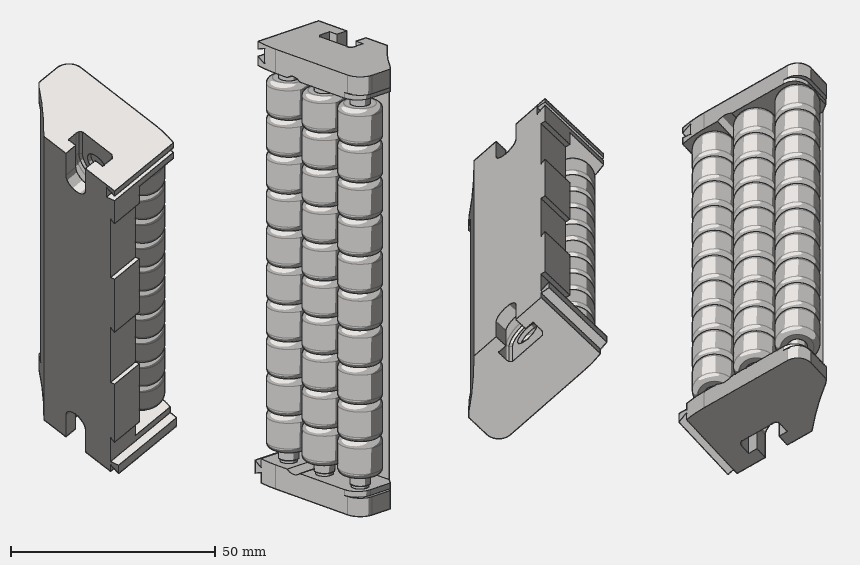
import cadquery as cq
import math


LENGTH = 115.0
HALF_LENGTH = LENGTH / 2
TOP_Y = 21.5
WALL = 8.7
PLATE = 6.3
LIP = 4.8
BODY_LEFT = -3.6
LIP_LEFT = -4.5
BEVEL_TOP_Y = 10.1
BEVEL_FOOT_X = 7.9
BEVEL_SAG = 0.3
BODY_CORNER_Y = 17.0
LIP_CORNER_Y = 17.2

ROLLER_COUNT = 3
ROLLER_PITCH = 12.5
ROLLER_RADIUS = 5.5
ROLLER_AXIS_Y = 17.0
DRUM_COUNT = 10
DRUM_PITCH = 9.7
DRUM_ROUNDING = 1.5
ROLLER_MIDDLE_Z = 58.2
NECK_RADIUS = 2.5
NECK_LENGTH = 2.8
JOURNAL_RADIUS = 2.2
JOURNAL_LENGTH = 3.7
DRUMS_HALF_LENGTH = DRUM_COUNT * DRUM_PITCH / 2
NECK_END = DRUMS_HALF_LENGTH + NECK_LENGTH
JOURNAL_END = NECK_END + JOURNAL_LENGTH
LAST_AXIS_X = (ROLLER_COUNT - 1) * ROLLER_PITCH

STEP = 1.4
BASE_X = 30.7
TOOTH_X = BASE_X + STEP
KEY_DEPTH = 2 * STEP
UNDERCUT = 0.6
TOOTH_TIPS_Z = (13.1, 36.7, 57.7, 79.2, 101.8)
KEY_Z = 3.3
KEY_HALF_ROOT = 0.7
KEY_HALF_TIP = 1.7
KEYWAY_Z = 112.0
KEYWAY_HALF_MOUTH = 0.9
KEYWAY_HALF_FLOOR = 2.0
RIGHT_X = BASE_X + KEY_DEPTH
RIGHT_ROUNDING = 32.2

SLOT_X = LAST_AXIS_X - ROLLER_PITCH / 2
SLOT_RUN = 8.9
STEM_RADIUS = 3.3
HEAD_RADIUS = 5.9
HEAD_BOTTOM_Y = 3.5
HEAD_TOP_Y = 7.6
HEAD_TAPER_WIDTH = 0.2
HEAD_TAPER_HEIGHT = 1.4
HEAD_CHAMFER = 0.6


def bevel_middle():
    """Middle of the hollow bevel, set off from its chord toward the inside."""
    run = BEVEL_FOOT_X - BODY_LEFT
    chord = math.hypot(run, BEVEL_TOP_Y)
    return (
        (BODY_LEFT + BEVEL_FOOT_X) / 2 + BEVEL_SAG * BEVEL_TOP_Y / chord,
        BEVEL_TOP_Y / 2 + BEVEL_SAG * run / chord,
    )


def corner_middle(left, start_y):
    """Middle of the quarter circle that joins the left side to the top."""
    radius = TOP_Y - start_y
    offset = radius * (1 - math.sqrt(0.5))
    return left + offset, TOP_Y - offset


def body_block():
    """Full cross-section, extruded over the whole length."""

    def right_arc(x):
        drop = RIGHT_ROUNDING - math.sqrt(RIGHT_ROUNDING**2 - (x - LAST_AXIS_X) ** 2)
        return x, TOP_Y - drop

    corner_radius = TOP_Y - BODY_CORNER_Y
    return (
        cq.Workplane("XY")
        .moveTo(RIGHT_X, 0)
        .lineTo(BEVEL_FOOT_X, 0)
        .threePointArc(bevel_middle(), (BODY_LEFT, BEVEL_TOP_Y))
        .lineTo(BODY_LEFT, BODY_CORNER_Y)
        .threePointArc(corner_middle(BODY_LEFT, BODY_CORNER_Y), (BODY_LEFT + corner_radius, TOP_Y))
        .lineTo(LAST_AXIS_X, TOP_Y)
        .threePointArc(right_arc((LAST_AXIS_X + RIGHT_X) / 2), right_arc(RIGHT_X))
        .close()
        .extrude(LENGTH)
    )


def lip(start_z):
    """Outer layer of an end plate, with its left side further out."""
    corner_radius = TOP_Y - LIP_CORNER_Y
    inside_x = BODY_LEFT + TOP_Y - BODY_CORNER_Y
    chamfer = BODY_LEFT - LIP_LEFT
    return (
        cq.Workplane("XY", origin=(0, 0, start_z))
        .moveTo(inside_x, BEVEL_TOP_Y)
        .lineTo(BODY_LEFT, BEVEL_TOP_Y)
        .lineTo(LIP_LEFT, BEVEL_TOP_Y + chamfer)
        .lineTo(LIP_LEFT, LIP_CORNER_Y)
        .threePointArc(corner_middle(LIP_LEFT, LIP_CORNER_Y), (LIP_LEFT + corner_radius, TOP_Y))
        .lineTo(inside_x, TOP_Y)
        .close()
        .extrude(LIP)
    )


def roller_bay():
    """Space between the end plates, open on every side but the back."""
    width = RIGHT_X - LIP_LEFT
    depth = TOP_Y - WALL
    return (
        cq.Workplane("XY")
        .box(width, depth, LENGTH - 2 * PLATE, centered=(False, False, False))
        .translate((LIP_LEFT, WALL, PLATE))
    )


def joint_outline():
    """Everything to the left of the interlocking right side, as a prism along Y."""
    points = [
        (LIP_LEFT, 0),
        (BASE_X, 0),
        (BASE_X, KEY_Z - KEY_HALF_ROOT),
        (RIGHT_X, KEY_Z - KEY_HALF_TIP),
        (RIGHT_X, KEY_Z + KEY_HALF_TIP),
        (BASE_X, KEY_Z + KEY_HALF_ROOT),
    ]
    for index, tip_z in enumerate(TOOTH_TIPS_Z):
        if index % 2 == 0:
            points += [(BASE_X, tip_z + UNDERCUT), (TOOTH_X, tip_z)]
        else:
            points += [(TOOTH_X, tip_z), (BASE_X, tip_z - UNDERCUT)]
    points += [
        (TOOTH_X, KEYWAY_Z - KEYWAY_HALF_MOUTH),
        (TOOTH_X - KEY_DEPTH, KEYWAY_Z - KEYWAY_HALF_FLOOR),
        (TOOTH_X - KEY_DEPTH, KEYWAY_Z + KEYWAY_HALF_FLOOR),
        (TOOTH_X, KEYWAY_Z + KEYWAY_HALF_MOUTH),
        (TOOTH_X, LENGTH),
        (LIP_LEFT, LENGTH),
    ]
    return cq.Workplane("XZ").polyline(points).close().extrude(-TOP_Y)


def round_ended_slot(radius, bottom_y, top_y):
    """Slot that enters from the lower end of the housing and stops in a half circle."""
    return (
        cq.Workplane("XZ", origin=(SLOT_X, bottom_y, 0))
        .moveTo(-radius, -radius)
        .lineTo(-radius, SLOT_RUN)
        .threePointArc((0, SLOT_RUN + radius), (radius, SLOT_RUN))
        .lineTo(radius, -radius)
        .close()
        .extrude(bottom_y - top_y)
    )


def screw_slot():
    """T-slot at the lower end, with a hole at its inner end through to the roller bay."""
    head = round_ended_slot(HEAD_RADIUS, HEAD_BOTTOM_Y, HEAD_TOP_Y)
    head = head.faces(">Y").edges("not <Z").chamfer(HEAD_TAPER_HEIGHT, HEAD_TAPER_WIDTH)
    head = head.faces(">Y").edges("not <Z").chamfer(HEAD_CHAMFER)
    stem = round_ended_slot(STEM_RADIUS, 0, HEAD_BOTTOM_Y)
    hole = (
        cq.Workplane("XZ", origin=(SLOT_X, 0, SLOT_RUN))
        .circle(STEM_RADIUS)
        .extrude(-TOP_Y)
    )
    return head.union(stem).union(hole)


def roller(axis_x):
    """Row of rounded drums with a neck and a journal at each end."""
    end_radius = ROLLER_RADIUS - DRUM_ROUNDING
    offset = DRUM_ROUNDING * (1 - math.sqrt(0.5))
    rounded_radius = ROLLER_RADIUS - offset
    profile = (
        cq.Workplane("XZ")
        .moveTo(0, -JOURNAL_END)
        .lineTo(JOURNAL_RADIUS, -JOURNAL_END)
        .lineTo(JOURNAL_RADIUS, -NECK_END)
        .lineTo(NECK_RADIUS, -NECK_END)
        .lineTo(NECK_RADIUS, -DRUMS_HALF_LENGTH)
        .lineTo(end_radius, -DRUMS_HALF_LENGTH)
    )
    for index in range(DRUM_COUNT):
        low = index * DRUM_PITCH - DRUMS_HALF_LENGTH
        high = low + DRUM_PITCH
        profile = (
            profile
            .threePointArc((rounded_radius, low + offset), (ROLLER_RADIUS, low + DRUM_ROUNDING))
            .lineTo(ROLLER_RADIUS, high - DRUM_ROUNDING)
            .threePointArc((rounded_radius, high - offset), (end_radius, high))
        )
    return (
        profile
        .lineTo(NECK_RADIUS, DRUMS_HALF_LENGTH)
        .lineTo(NECK_RADIUS, NECK_END)
        .lineTo(JOURNAL_RADIUS, NECK_END)
        .lineTo(JOURNAL_RADIUS, JOURNAL_END)
        .lineTo(0, JOURNAL_END)
        .close()
        .revolve(360, (0, 0, 0), (0, 1, 0))
        .translate((axis_x, ROLLER_AXIS_Y, ROLLER_MIDDLE_Z))
    )


def make_housing(rollers):
    """Back wall with two end plates, fitted to the ends of the rollers."""
    housing = body_block().union(lip(0)).union(lip(LENGTH - LIP)).cut(roller_bay())
    housing = housing.intersect(joint_outline())
    lower_slot = screw_slot()
    upper_slot = lower_slot.mirror("XY", (0, 0, HALF_LENGTH))
    housing = housing.cut(lower_slot).cut(upper_slot)
    for each in rollers:
        housing = housing.cut(each)
    return housing


rollers = [roller(index * ROLLER_PITCH) for index in range(ROLLER_COUNT)]
housing = make_housing(rollers)

result = cq.Compound.makeCompound([housing.val(), *[each.val() for each in rollers]])